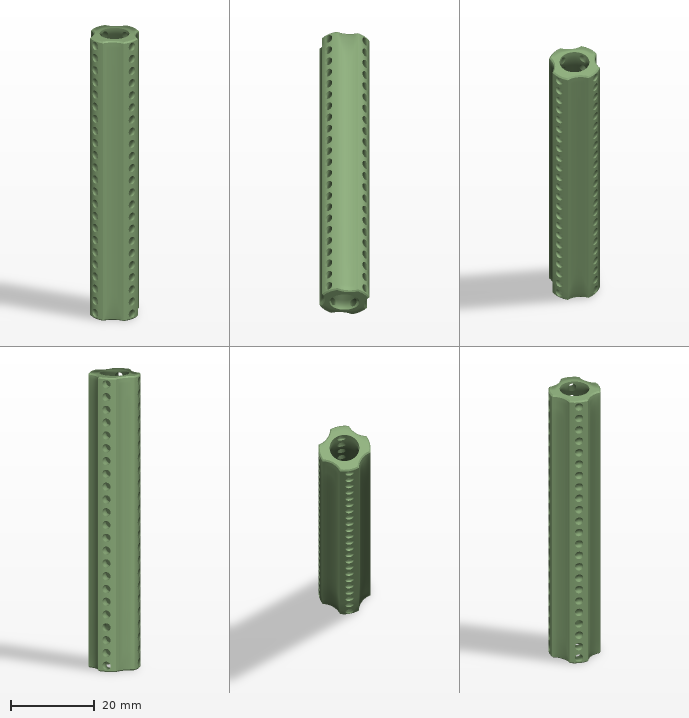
import cadquery as cq
import math

length = 71.9
outer_diameter = 12.5
lobe_count = 4
lobe_half_width = 2.3
flute_root_radius = 5.0
end_chamfer = 0.32

bore_diameter = 7.1
web_hole_diameter = 3.0
web_thickness = 2.3
web_hole_index = 3

side_hole_diameter = 2.0
side_hole_count = 23
side_hole_end_radius = 2.95

outer_radius = outer_diameter / 2
lobe_step = 360 / lobe_count
hole_pitch = length / side_hole_count
web_top = (web_hole_index + 0.5) * hole_pitch
web_bottom = web_top - web_thickness


def polar_point(radius, angle):
    """Point in the XY plane at a distance and an angle (degrees) from the axis."""
    return (radius * math.cos(math.radians(angle)), radius * math.sin(math.radians(angle)))


def fluted_bar():
    """Solid bar with rounded lobes on the X and Y axes and concave flutes between them."""
    lobe_half_angle = math.degrees(math.asin(lobe_half_width / outer_radius))
    outline = cq.Workplane("XY").moveTo(*polar_point(outer_radius, -lobe_half_angle))
    for i in range(lobe_count):
        middle = i * lobe_step
        lobe_tip = polar_point(outer_radius, middle)
        lobe_end = polar_point(outer_radius, middle + lobe_half_angle)
        flute_root = polar_point(flute_root_radius, middle + lobe_step / 2)
        flute_end = polar_point(outer_radius, middle + lobe_step - lobe_half_angle)
        outline = outline.threePointArc(lobe_tip, lobe_end).threePointArc(flute_root, flute_end)
    return outline.close().extrude(length).faces("<Z or >Z").chamfer(end_chamfer)


def bore():
    """Straight bore with the web left standing in it."""
    full_bore = cq.Workplane("XY").circle(bore_diameter / 2).extrude(length)
    web = (
        cq.Workplane("XY")
        .workplane(offset=web_bottom)
        .circle(bore_diameter / 2)
        .circle(web_hole_diameter / 2)
        .extrude(web_thickness)
    )
    return full_bore.cut(web)


def side_holes():
    """One row of evenly spaced blind holes, drilled into the +X lobe towards the axis."""
    middles = [(0, (i + 0.5) * hole_pitch) for i in range(side_hole_count)]
    return (
        cq.Workplane("YZ")
        .workplane(offset=side_hole_end_radius)
        .pushPoints(middles)
        .circle(side_hole_diameter / 2)
        .extrude(outer_radius)
    )


result = fluted_bar().cut(bore())
for lobe in range(lobe_count):
    result = result.cut(side_holes().rotate((0, 0, 0), (0, 0, 1), lobe * lobe_step))